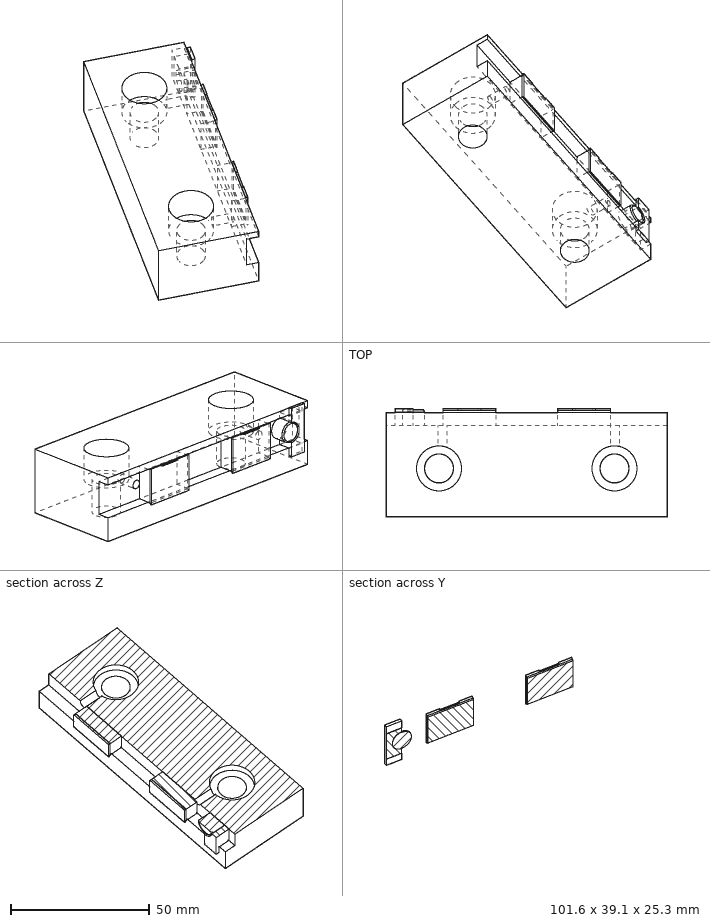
import cadquery as cq
import math

LENGTH = 101.6
DEPTH = 37.6
HEIGHT = 25.0
OUTER_DEPTH = 39.1

SLOT_FLOOR_Y = 33.0
SLOT_BOTTOM_Z = 9.3
SLOT_HEIGHT = 12.9
SLOT_MID_Z = SLOT_BOTTOM_Z + SLOT_HEIGHT / 2

MOUNT_OFFSET = 31.7
MOUNT_Y = 17.5
MOUNT_DIAMETER = 10.4
COUNTERBORE_DIAMETER = 16.3
COUNTERBORE_DEPTH = 12.2
MOUNT_XS = [LENGTH / 2 - MOUNT_OFFSET, LENGTH / 2 + MOUNT_OFFSET]

CROSS_HOLE_DIAMETER = 3.3
LEFT_CROSS_HOLE = (20.4, 16.2)
RIGHT_CROSS_HOLE = (82.7, 15.4)

CLIP_X = 3.3
CLIP_WIDTH = 6.5
CLIP_HEAD_HEIGHT = 19.0
CLIP_TOP_Z = 25.3
CLIP_GAP = 0.3

SCREW_X = 9.9
SCREW_HEAD_DIAMETER = 7.9
SCREW_TOP_Y = 38.8
SCREW_CHAMFER = 0.5

SLIDE_OFFSET = 20.7
SLIDE_LENGTH = 19.1
SLIDE_FACE_Y = 38.4
SLIDE_TAPER = 10.0
SLIDE_XS = [LENGTH / 2 - SLIDE_OFFSET, LENGTH / 2 + SLIDE_OFFSET]
SLIDE_FLARE = (SLIDE_FACE_Y - DEPTH) * math.tan(math.radians(SLIDE_TAPER))
COVER_THICKNESS = OUTER_DEPTH - SLIDE_FACE_Y
COVER_HALF_HEIGHT = SLOT_HEIGHT / 2 + SLIDE_FLARE
OUTER_FLANK = 0.15
RIDGE = COVER_THICKNESS - OUTER_FLANK
NOTCH_FLAT = 6.1
NOTCH_WIDTH = 8.2
NOTCH_CORNER_RADIUS = 5.1


def box(x, y, z, size_x, size_y, size_z):
    """A box from its lowest corner and its sizes."""
    return cq.Workplane("XY").box(size_x, size_y, size_z, centered=False).translate((x, y, z))


def back_cylinder(x, z, diameter, y_start, y_end):
    """A cylinder along +Y between two depths."""
    plane = cq.Workplane("XZ", origin=(x, y_start, z))
    return plane.circle(diameter / 2).extrude(y_start - y_end)


def extrude_along_x(points, x, length):
    """A (Y, Z) outline extruded along X and centred on x."""
    return cq.Workplane("YZ", origin=(x, 0, 0)).polyline(points).close().extrude(length / 2, both=True)


def make_block():
    block = box(0, 0, 0, LENGTH, DEPTH, HEIGHT)
    block = block.cut(box(0, SLOT_FLOOR_Y, SLOT_BOTTOM_Z, LENGTH, DEPTH - SLOT_FLOOR_Y, SLOT_HEIGHT))
    top = cq.Workplane("XY", origin=(0, 0, HEIGHT)).pushPoints([(x, MOUNT_Y) for x in MOUNT_XS])
    block = block.cut(top.circle(MOUNT_DIAMETER / 2).extrude(-HEIGHT))
    block = block.cut(top.circle(COUNTERBORE_DIAMETER / 2).extrude(-COUNTERBORE_DEPTH))
    for x, z in [LEFT_CROSS_HOLE, RIGHT_CROSS_HOLE]:
        block = block.cut(back_cylinder(x, z, CROSS_HOLE_DIAMETER, MOUNT_Y, SLOT_FLOOR_Y))
    return block


def make_screw():
    screw = back_cylinder(SCREW_X, SLOT_MID_Z, SCREW_HEAD_DIAMETER, SLOT_FLOOR_Y, SCREW_TOP_Y)
    return screw.faces(">Y").chamfer(SCREW_CHAMFER)


def make_clip():
    head_y = DEPTH + CLIP_GAP
    head_z = CLIP_TOP_Z - CLIP_HEAD_HEIGHT
    head = box(CLIP_X, head_y, head_z, CLIP_WIDTH, OUTER_DEPTH - head_y, CLIP_HEAD_HEIGHT)
    stem_depth = head_y - SLOT_FLOOR_Y
    stem = box(CLIP_X, SLOT_FLOOR_Y, SLOT_BOTTOM_Z, CLIP_WIDTH, stem_depth, SLOT_HEIGHT - CLIP_GAP)
    notch = back_cylinder(SCREW_X, SLOT_MID_Z, SCREW_HEAD_DIAMETER, SLOT_FLOOR_Y, OUTER_DEPTH)
    return head.union(stem).cut(notch)


def make_slide(x):
    half_outline = [
        (SLOT_FLOOR_Y, SLOT_HEIGHT / 2),
        (DEPTH, SLOT_HEIGHT / 2),
        (SLIDE_FACE_Y, COVER_HALF_HEIGHT),
    ]
    upper = [(y, SLOT_MID_Z + z) for y, z in half_outline]
    lower = [(y, SLOT_MID_Z - z) for y, z in reversed(half_outline)]
    return extrude_along_x(upper + lower, x, SLIDE_LENGTH)


def make_cover(x):
    bottom_z = SLOT_MID_Z - COVER_HALF_HEIGHT
    top_z = SLOT_MID_Z + COVER_HALF_HEIGHT
    outline = [
        (SLIDE_FACE_Y, bottom_z),
        (SLIDE_FACE_Y, top_z),
        (SLIDE_FACE_Y + RIDGE, top_z + RIDGE),
        (OUTER_DEPTH, top_z + RIDGE - OUTER_FLANK),
        (OUTER_DEPTH, bottom_z - RIDGE + OUTER_FLANK),
        (SLIDE_FACE_Y + RIDGE, bottom_z - RIDGE),
    ]
    return extrude_along_x(outline, x, SLIDE_LENGTH).cut(make_cover_notch(x, top_z))


def make_cover_notch(x, face_z):
    """The gap in the middle of a cover's ridge, with a flat floor that curves up at both ends."""
    half_flat = NOTCH_FLAT / 2
    half_width = NOTCH_WIDTH / 2
    run = half_width - half_flat
    rise = NOTCH_CORNER_RADIUS - math.sqrt(NOTCH_CORNER_RADIUS**2 - run**2)
    floor_z = face_z - rise
    notch = (
        cq.Workplane("XZ", origin=(x, SLIDE_FACE_Y, floor_z))
        .moveTo(-half_flat, 0)
        .lineTo(half_flat, 0)
        .radiusArc((half_width, rise), -NOTCH_CORNER_RADIUS)
        .lineTo(half_width, rise + RIDGE)
        .lineTo(-half_width, rise + RIDGE)
        .lineTo(-half_width, rise)
        .radiusArc((-half_flat, 0), -NOTCH_CORNER_RADIUS)
        .close()
    )
    return notch.extrude(-COVER_THICKNESS)


block = make_block()
clip = make_clip()
screw = make_screw()
slides = [make_slide(x) for x in SLIDE_XS]
covers = [make_cover(x) for x in SLIDE_XS]

bodies = [block, clip, screw, *slides, *covers]
result = cq.Compound.makeCompound([body.val() for body in bodies])